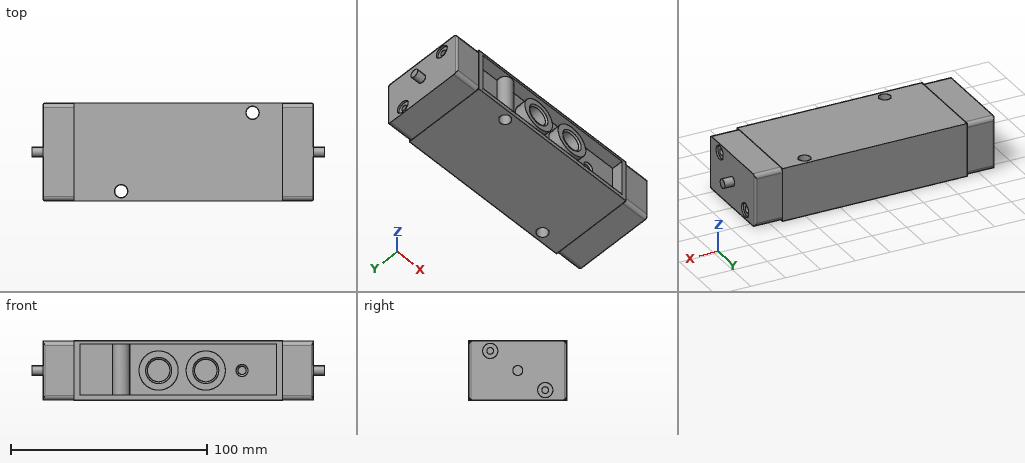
import cadquery as cq

total_length = 149.0
width = 50.0
height = 30.4

body_length = 106.1
caps_length = 137.7
cap_step = 0.1
cap_long_edge_radius = 2.2
cap_end_edge_radius = 1.0

pin_diameter = 5.0

screw_y = 14.0
screw_z = 10.0
screw_head_diameter = 7.7
screw_head_depth = 1.0
screw_socket_diameter = 3.5
screw_socket_depth = 2.0

recess_length = 100.1
recess_depth = 6.7
recess_top_wall = 1.8
recess_bottom_wall = 2.8

mount_hole_diameter = 6.5
mount_y = 20.0
front_mount_x = -29.0
back_mount_x = 37.8
column_diameter = 9.0

port_positions = (-10.0, 14.0)
port_boss_diameter = 20.0
port_diameter = 11.5
port_mouth_diameter = 13.3
port_depth = 17.9

pilot_x = 32.5
pilot_diameter = 4.2
pilot_mouth_diameter = 6.1
pilot_depth = 7.5

front_y = -width / 2
floor_y = front_y + recess_depth
recess_bottom_z = -height / 2 + recess_bottom_wall
recess_height = height - recess_top_wall - recess_bottom_wall


def cylinder_along_y(diameter, length, x, y_start):
    """Cylinder at mid height that starts at y_start and runs toward +Y."""
    start = cq.Vector(x, y_start, 0)
    return cq.Workplane(cq.Solid.makeCylinder(diameter / 2, length, start, cq.Vector(0, 1, 0)))


def port_cutter(x, y_mouth, mouth_diameter, diameter, depth):
    """Blind port with a 45 degree countersunk mouth."""
    mouth_depth = (mouth_diameter - diameter) / 2
    mouth = cq.Workplane(
        cq.Solid.makeCone(
            mouth_diameter / 2, diameter / 2, mouth_depth, cq.Vector(x, y_mouth, 0), cq.Vector(0, 1, 0)
        )
    )
    return mouth.union(cylinder_along_y(diameter, depth, x, y_mouth))


def make_caps():
    """Both end caps as one bar, rounded along X and at its vertical end edges."""
    cap_width = width - 2 * cap_step
    cap_height = height - 2 * cap_step
    bar = cq.Workplane().box(caps_length, cap_width, cap_height)
    long_bar = bar.edges("|X").fillet(cap_long_edge_radius)
    end_rounded_bar = bar.edges("|Z").fillet(cap_end_edge_radius)
    return long_bar.intersect(end_rounded_bar)


def make_recess():
    """Side recess, leaving the port bosses and the column standing."""
    recess = cq.Workplane().box(recess_length, recess_depth, recess_height, centered=(True, False, False))
    recess = recess.translate((0, front_y, recess_bottom_z))
    for x in port_positions:
        recess = recess.cut(cylinder_along_y(port_boss_diameter, recess_depth, x, front_y))
    column = cq.Workplane().center(front_mount_x, -mount_y).circle(column_diameter / 2)
    return recess.cut(column.extrude(height / 2, both=True))


def screw_cutter():
    """Screw recesses for the -X end face."""
    positions = [(-screw_y, screw_z), (screw_y, -screw_z)]
    end_plane = cq.Workplane("YZ", origin=(-caps_length / 2, 0, 0)).pushPoints(positions)
    heads = end_plane.circle(screw_head_diameter / 2).extrude(screw_head_depth)
    sockets = end_plane.circle(screw_socket_diameter / 2).extrude(screw_head_depth + screw_socket_depth)
    return heads.union(sockets)


result = cq.Workplane().box(body_length, width, height).union(make_caps())
result = result.union(cq.Workplane("YZ").circle(pin_diameter / 2).extrude(total_length / 2, both=True))

result = result.cut(make_recess())
for x in port_positions:
    result = result.cut(port_cutter(x, front_y, port_mouth_diameter, port_diameter, port_depth))
result = result.cut(port_cutter(pilot_x, floor_y, pilot_mouth_diameter, pilot_diameter, pilot_depth))

mount_positions = [(front_mount_x, -mount_y), (back_mount_x, mount_y)]
mount_holes = cq.Workplane().pushPoints(mount_positions).circle(mount_hole_diameter / 2)
result = result.cut(mount_holes.extrude(height, both=True))

screws = screw_cutter()
result = result.cut(screws).cut(screws.mirror("YZ"))